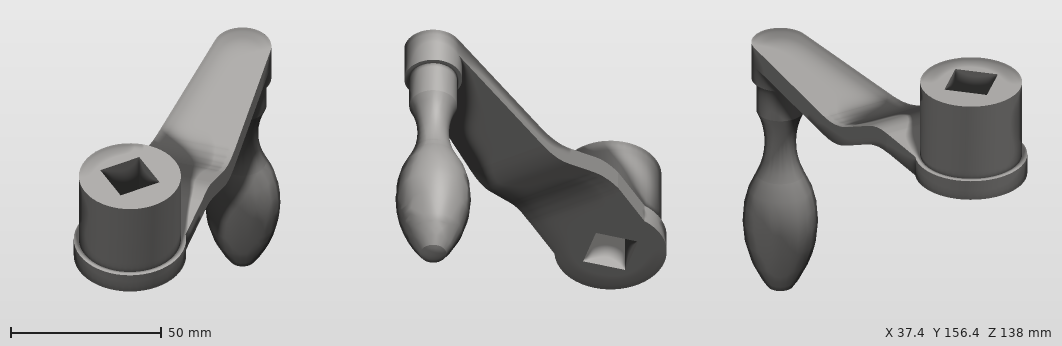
import cadquery as cq
import math

hub_diameter = 34.0
hub_height = 27.4
flange_diameter = 37.4
socket_diagonal = 20.6

arm_thickness = 7.0
arm_length = 125.1
arm_drop = 17.0
taper_start = 26.6
bend_start = 24.5
bend_run = 16.3
slope_run = 16.0

collar_diameter = 19.2
collar_length = 6.5
neck_diameter = 16.0
neck_length = 12.2
waist_diameter = 10.5
waist_length = 23.9
grip_diameter = 25.2
grip_upper_length = 17.2
grip_lower_length = 25.3
tip_diameter = 8.8
overall_height = 138.0


def make_hub():
    flange = cq.Workplane("XY").circle(flange_diameter / 2).extrude(-arm_thickness)
    barrel = cq.Workplane("XY").circle(hub_diameter / 2).extrude(hub_height)
    return flange.union(barrel)


def make_arm():
    half_width = hub_diameter / 2
    end_radius = collar_diameter / 2
    taper_length = arm_length - taper_start
    centre_distance = math.hypot(half_width, taper_length)
    taper_angle = math.atan2(half_width, taper_length) - math.asin(end_radius / centre_distance)
    tangent_x = end_radius * math.cos(taper_angle)
    tangent_y = arm_length + end_radius * math.sin(taper_angle)
    arm_end = arm_length + end_radius
    plan = (
        cq.Workplane("XY")
        .workplane(offset=-arm_drop - arm_thickness)
        .moveTo(-half_width, 0)
        .lineTo(half_width, 0)
        .lineTo(half_width, taper_start)
        .lineTo(tangent_x, tangent_y)
        .threePointArc((0, arm_end), (-tangent_x, tangent_y))
        .lineTo(-half_width, taper_start)
        .close()
        .extrude(arm_drop + arm_thickness)
    )

    slope_start = bend_start + bend_run
    slope_end = slope_start + slope_run
    bend_end = slope_end + bend_run
    slope = arm_drop / (bend_run + slope_run)
    bend_drop = (arm_drop - slope_run * slope) / 2
    lower_z = -arm_drop
    side = (
        cq.Workplane("YZ")
        .moveTo(0, 0)
        .lineTo(bend_start, 0)
        .tangentArcPoint((slope_start, -bend_drop), relative=False)
        .lineTo(slope_end, lower_z + bend_drop)
        .tangentArcPoint((bend_end, lower_z), relative=False)
        .lineTo(arm_end, lower_z)
        .lineTo(arm_end, lower_z - arm_thickness)
        .lineTo(bend_end, lower_z - arm_thickness)
        .tangentArcPoint((slope_end, lower_z + bend_drop - arm_thickness), relative=False)
        .lineTo(slope_start, -bend_drop - arm_thickness)
        .tangentArcPoint((bend_start, -arm_thickness), relative=False)
        .lineTo(0, -arm_thickness)
        .close()
        .extrude(half_width, both=True)
    )
    return plan.intersect(side)


def grip_radius(distance, end_distance, end_radius):
    """Radius of the grip at a distance from its widest section, on an arc ending at end_radius."""
    sagitta = grip_diameter / 2 - end_radius
    arc_radius = (end_distance**2 + sagitta**2) / (2 * sagitta)
    return grip_diameter / 2 - arc_radius + math.sqrt(arc_radius**2 - distance**2)


def make_handle():
    collar_radius = collar_diameter / 2
    neck_radius = neck_diameter / 2
    tip_radius = tip_diameter / 2
    collar_top = -arm_drop - arm_thickness
    collar_bottom = collar_top - collar_length
    neck_bottom = collar_bottom - neck_length
    waist_z = neck_bottom - waist_length / 2
    grip_top = neck_bottom - waist_length
    widest_z = grip_top - grip_upper_length
    tip_z = widest_z - grip_lower_length
    bottom = hub_height - overall_height
    tip_height = tip_z - bottom
    dome_radius = (tip_radius**2 + tip_height**2) / (2 * tip_height)
    dome_mid_x = tip_radius / 2
    dome_mid_z = bottom + dome_radius - math.sqrt(dome_radius**2 - dome_mid_x**2)
    upper_mid = grip_upper_length / 2
    lower_mid = grip_lower_length / 2
    upper_mid_radius = grip_radius(upper_mid, grip_upper_length, neck_radius)
    lower_mid_radius = grip_radius(lower_mid, grip_lower_length, tip_radius)
    grip_points = [
        (upper_mid_radius, widest_z + upper_mid),
        (grip_diameter / 2, widest_z),
        (lower_mid_radius, widest_z - lower_mid),
        (tip_radius, tip_z),
    ]

    return (
        cq.Workplane("XZ")
        .moveTo(0, collar_top)
        .lineTo(collar_radius, collar_top)
        .lineTo(collar_radius, collar_bottom)
        .lineTo(neck_radius, collar_bottom)
        .lineTo(neck_radius, neck_bottom)
        .threePointArc((waist_diameter / 2, waist_z), (neck_radius, grip_top))
        .spline(grip_points, includeCurrent=True)
        .threePointArc((dome_mid_x, dome_mid_z), (0, bottom))
        .close()
        .revolve(360, (0, 0, 0), (0, 1, 0))
        .translate((0, arm_length, 0))
    )


socket = (
    cq.Workplane("XY")
    .workplane(offset=-arm_thickness)
    .polygon(4, socket_diagonal)
    .extrude(hub_height + arm_thickness)
)

result = make_hub().union(make_arm()).union(make_handle()).cut(socket)